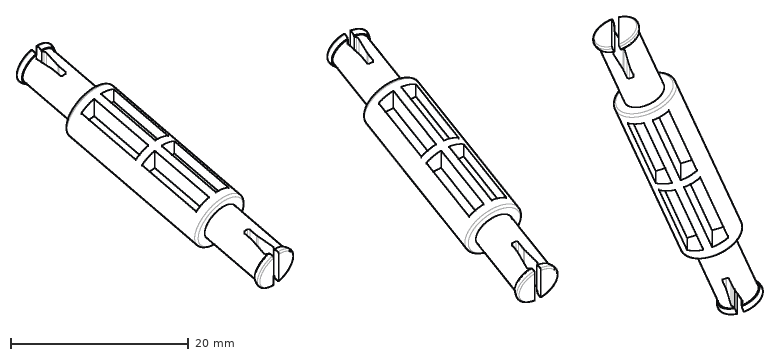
import cadquery as cq

total_length = 40.2
body_length = 21.7
body_diameter = 7.5
stem_diameter = 4.85
body_edge_fillet = 0.3

collar_diameter = 5.5
collar_length = 0.8
collar_front_fillet = 0.2
collar_crown_drop = 0.15

pocket_length = 9.0
pocket_width = 1.95
rib_thickness = 1.05

slot_length = 5.02
slot_neck_width = 0.8
slot_neck_length = 0.9
slot_wide_width = 1.45
slot_wide_position = 1.13
slot_wide_fillet = 0.32
slot_taper_end = 3.6
slot_taper_fillet = 2.0
slot_corner_fillet = 0.2
slot_edge_search = 0.1

end_x = total_length / 2


def cylinder_along_x(diameter, length):
    return cq.Workplane("YZ", origin=(-length / 2, 0, 0)).circle(diameter / 2).extrude(length)


def make_collar():
    """Collar at the -X end: small front fillet, then a crown arc falling to a low step at the back."""
    outer = collar_diameter / 2
    back = outer - collar_crown_drop
    front_x = -end_x + collar_front_fillet
    back_x = -end_x + collar_length
    return (
        cq.Workplane("XY")
        .moveTo(-end_x, 0)
        .lineTo(-end_x, outer - collar_front_fillet)
        .tangentArcPoint((front_x, outer), relative=False)
        .tangentArcPoint((back_x, back), relative=False)
        .lineTo(back_x, 0)
        .close()
        .revolve(360, (0, 0, 0), (1, 0, 0))
    )


def make_slot():
    """Slot through the -X end: narrow mouth, a widening behind the collar, a taper and a parallel tail."""
    neck = slot_neck_width / 2
    wide = slot_wide_width / 2
    upper_side = [
        (-end_x, neck),
        (-end_x + slot_neck_length, neck),
        (-end_x + slot_wide_position, wide),
        (-end_x + slot_taper_end, neck),
        (-end_x + slot_length, neck),
    ]
    lower_side = [(x, -y) for x, y in reversed(upper_side)]
    slot = cq.Workplane("XY").polyline(upper_side + lower_side).close().extrude(body_diameter / 2, both=True)

    def round_edges_at(shape, distance_from_end, radius):
        reach = slot_edge_search / 2
        x = -end_x + distance_from_end
        zone = cq.selectors.BoxSelector((x - reach, -wide - reach, -reach), (x + reach, wide + reach, reach))
        return shape.edges("|Z").edges(zone).fillet(radius)

    slot = round_edges_at(slot, slot_wide_position, slot_wide_fillet)
    slot = round_edges_at(slot, slot_taper_end, slot_taper_fillet)
    return round_edges_at(slot, slot_length, slot_corner_fillet)


def make_pockets():
    """Eight pockets, leaving a rib in each of the three middle planes."""
    pocket_depth = (body_diameter - rib_thickness) / 2
    x = (rib_thickness + pocket_length) / 2
    y = (rib_thickness + pocket_width) / 2
    z = (rib_thickness + pocket_depth) / 2
    centers = [(sx * x, sy * y, sz * z) for sx in (-1, 1) for sy in (-1, 1) for sz in (-1, 1)]
    pockets = cq.Workplane("XY")
    for center in centers:
        pocket = cq.Workplane("XY").box(pocket_length, pocket_width, pocket_depth).translate(center)
        pockets = pockets.union(pocket)
    return pockets


body = cylinder_along_x(body_diameter, body_length).edges().fillet(body_edge_fillet)
stem = cylinder_along_x(stem_diameter, total_length)
collar = make_collar()
slot = make_slot()

result = body.union(stem).union(collar).union(collar.mirror("YZ"))
result = result.cut(slot).cut(slot.mirror("YZ")).cut(make_pockets())